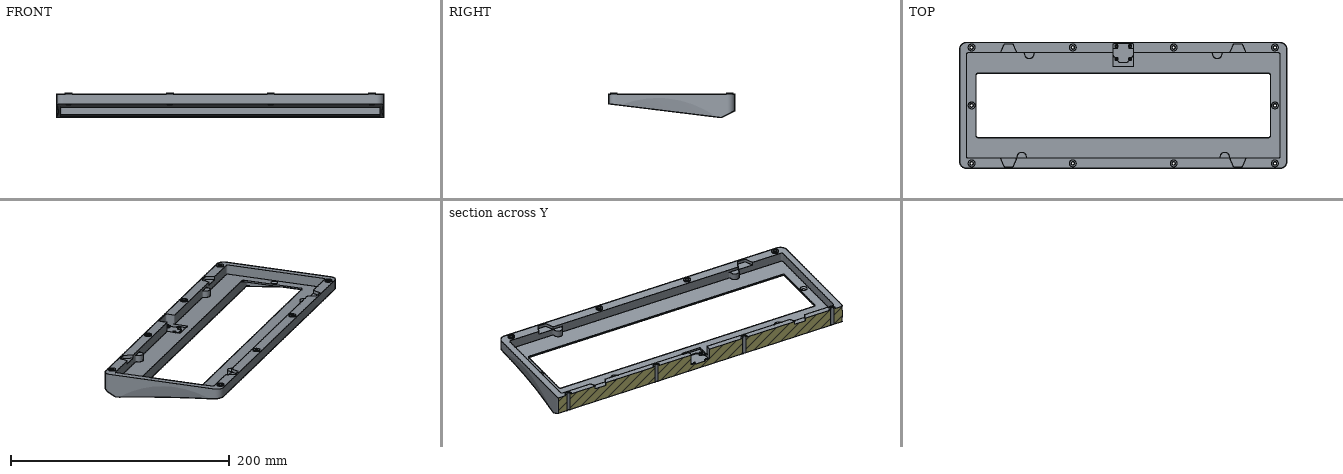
import cadquery as cq
import math


length = 299.5
width = 115.3
total_height = 22.5
ring_height = 1.0
corner_radius = 6.5
front_depth = 9.0
back_depth = 15.3
ridge_y = 45.2

half_length = length / 2
half_width = width / 2
ridge_depth = total_height - ring_height
bottom_slope = (ridge_depth - front_depth) / (ridge_y + half_width)
tilt = math.degrees(math.atan(bottom_slope))

cavity_length = 286.8
cavity_width = 96.5
cavity_radius = 1.5
floor_depth = 9.0
window_length = 269.0
window_width = 58.7
window_radius = 1.5
cavity_y = cavity_width / 2

under_length = 292.2
under_front_y = -31.7
panel_back_y = 40.5
under_radius = 2.0
ledge_thickness = 1.5
panel_depth = 1.0

scallop_length = 89.8
scallop_inset = 1.8
scallop_rise = 11.5
scallop_y = -3.0

ring_diameter = 6.3
hole_diameter = 2.9
counterbore_diameter = 4.8
counterbore_depth = 1.0
countersink_depth = 1.2
hole_x_outer = 138.5
hole_x_inner = 46.0
hole_y = 53.0

notch_x = 104.8
notch_mouth = 15.3
notch_root = 8.0
notch_wall = 1.5
notch_depth = 3.0
notch_fillet = 1.0

post_radius = 4.2
post_fillet = 1.2
post_height = 6.3
back_post_x = 86.0
front_post_x = 92.8

board_width = 19.0
board_front_y = 35.5
board_back_y = 56.5
board_depth = 10.8
board_back_radius = 1.5
board_mouth_radius = 1.0
well_depth = 11.7
well_front_y = 39.2
well_front_half = 3.5
well_shoulder_y = 45.8
well_back_y = 52.0
well_neck_half = 5.0
pin_diameter = 2.9
pin_hole_diameter = 1.62
pin_top_depth = 9.5
pin_x = 6.3
pin_front_y = 42.5
pin_back_y = 54.2
port_width = 8.5
port_height = 3.3
port_depth = 7.2

overlap = 0.3


def bottom_z(y):
    """Height of the sloping underside in front of the ridge."""
    return -front_depth - bottom_slope * (y + half_width)


def level(z):
    """Horizontal work plane at height z."""
    return cq.Workplane("XY").workplane(offset=z)


def rounded_block(x_size, y_min, y_max, z_min, z_max, radius):
    """Box centred on X = 0 with rounded vertical edges."""
    return (
        level(z_min)
        .center(0, (y_min + y_max) / 2)
        .rect(x_size, y_max - y_min)
        .extrude(z_max - z_min)
        .edges("|Z")
        .fillet(radius)
    )


def side_profile(points, x_size):
    """Prism of a Y-Z outline, centred on X = 0."""
    return cq.Workplane("YZ").polyline(points).close().extrude(x_size / 2, both=True)


def four_ways(shape, x_back, x_front):
    """Copies of a back-rail shape on the left and right of both long rails."""
    front = shape.mirror("XZ")
    copies = cq.Workplane("XY")
    for side in (-1, 1):
        copies.add(shape.translate((side * x_back, 0, 0)))
        copies.add(front.translate((side * x_front, 0, 0)))
    return copies.combine()


def wedge():
    profile = [
        (-half_width, 0),
        (half_width, 0),
        (half_width, -back_depth),
        (ridge_y, -ridge_depth),
        (-half_width, -front_depth),
    ]
    outline = rounded_block(length, -half_width, half_width, -ridge_depth, 0, corner_radius)
    return side_profile(profile, length).intersect(outline)


def frame_openings():
    cavity = rounded_block(cavity_length, -cavity_y, cavity_y, -floor_depth, 0, cavity_radius)
    window_y = window_width / 2
    window = rounded_block(window_length, -window_y, window_y, -ridge_depth, 0, window_radius)
    ledge_z = -floor_depth - ledge_thickness
    deep_pocket = rounded_block(under_length, under_front_y, window_y, -ridge_depth, ledge_z, under_radius)
    panel_outline = [
        (under_front_y, -ridge_depth),
        (under_front_y, bottom_z(under_front_y) + panel_depth),
        (panel_back_y, bottom_z(panel_back_y) + panel_depth),
        (panel_back_y, -ridge_depth),
    ]
    panel = side_profile(panel_outline, under_length)
    return cavity.union(window).union(deep_pocket).union(panel)


def left_scallop():
    """Large cylinder, square to the underside, leaning in under the left end face."""
    radius = (scallop_length / 2) ** 2 / (2 * scallop_inset)
    lean = math.degrees(math.atan(scallop_inset / scallop_rise))
    return (
        cq.Workplane("XY")
        .center(-radius, 0)
        .circle(radius)
        .extrude(2 * scallop_rise, both=True)
        .rotate((0, 0, 0), (0, 1, 0), -lean)
        .rotate((0, 0, 0), (1, 0, 0), -tilt)
        .translate((scallop_inset - half_length, scallop_y, bottom_z(scallop_y)))
    )


def rail_notch():
    """Tapered notch in the inner edge of the back rail."""
    y_root = half_width - notch_wall
    points = [
        (-notch_mouth / 2, cavity_y - overlap),
        (-notch_root / 2, y_root),
        (notch_root / 2, y_root),
        (notch_mouth / 2, cavity_y - overlap),
    ]
    notch = level(-notch_depth).polyline(points).close().extrude(notch_depth)
    return notch.edges("|Z and >Y").fillet(notch_fillet)


def rail_post():
    """Half-round post that flares into the back rail's inner wall."""
    y_side = cavity_y - post_fillet
    foot = post_radius + post_fillet
    return (
        level(-floor_depth - overlap)
        .moveTo(-foot, cavity_y + overlap)
        .lineTo(-foot, cavity_y)
        .radiusArc((-post_radius, y_side), post_fillet)
        .threePointArc((0, y_side - post_radius), (post_radius, y_side))
        .radiusArc((foot, cavity_y), post_fillet)
        .lineTo(foot, cavity_y + overlap)
        .close()
        .extrude(post_height + overlap)
    )


def add_board_pocket(body):
    half_board = board_width / 2
    seat = (
        level(-board_depth)
        .center(0, (board_front_y + board_back_y) / 2)
        .rect(board_width, board_back_y - board_front_y)
        .extrude(board_depth)
        .edges("|Z and >Y")
        .fillet(board_back_radius)
    )
    well_half = [
        (0, well_front_y),
        (well_front_half, well_front_y),
        (half_board, well_shoulder_y),
        (half_board, well_back_y),
        (well_neck_half, well_back_y),
        (well_neck_half, board_back_y),
        (0, board_back_y),
    ]
    well = level(-well_depth).polyline(well_half).close().extrude(well_depth - board_depth)
    well = well.union(well.mirror("YZ"))
    port = (
        cq.Workplane("XZ", origin=(0, board_back_y - overlap, -port_depth))
        .slot2D(port_width, port_height)
        .extrude(-half_width)
    )
    mouth_corners = cq.selectors.BoxSelector(
        (-half_board - overlap, cavity_y - overlap, -floor_depth),
        (half_board + overlap, cavity_y + overlap, 0),
    )
    pin_centres = [(x, y) for x in (-pin_x, pin_x) for y in (pin_front_y, pin_back_y)]
    pin_bottom = -well_depth - overlap
    pins = (
        level(pin_bottom)
        .pushPoints(pin_centres)
        .circle(pin_diameter / 2)
        .circle(pin_hole_diameter / 2)
        .extrude(-pin_top_depth - pin_bottom)
    )
    pin_holes = (
        level(-well_depth)
        .pushPoints(pin_centres)
        .circle(pin_hole_diameter / 2)
        .extrude(well_depth - board_depth)
    )
    body = body.cut(seat)
    body = body.edges(mouth_corners).edges("|Z").fillet(board_mouth_radius)
    return body.cut(well).cut(port).union(pins).cut(pin_holes)


def add_screw_holes(body):
    hole_xs = (-hole_x_outer, -hole_x_inner, hole_x_inner, hole_x_outer)
    front_holes = [(x, -hole_y) for x in hole_xs]
    back_holes = [(x, hole_y) for x in hole_xs]
    side_holes = [(-hole_x_outer, 0), (hole_x_outer, 0)]
    rail_holes = front_holes + back_holes

    rings = level(-overlap).pushPoints(rail_holes).circle(ring_diameter / 2).extrude(ring_height + overlap)
    body = body.union(rings)
    holes = (
        level(-ridge_depth)
        .pushPoints(rail_holes + side_holes)
        .circle(hole_diameter / 2)
        .extrude(total_height)
    )
    body = body.cut(holes)

    counterbore_z = bottom_z(-hole_y) + counterbore_depth
    counterbores = (
        level(-ridge_depth)
        .pushPoints(front_holes)
        .circle(counterbore_diameter / 2)
        .extrude(counterbore_z + ridge_depth)
    )
    body = body.cut(counterbores)

    cone = cq.Solid.makeCone(hole_diameter / 2, ring_diameter / 2, countersink_depth)
    for x, y in side_holes:
        body = body.cut(cq.Workplane(cone.translate(cq.Vector(x, y, -floor_depth - countersink_depth))))
    return body


result = wedge().cut(frame_openings())
result = result.cut(left_scallop()).cut(left_scallop().mirror("YZ"))
result = result.cut(four_ways(rail_notch(), notch_x, notch_x))
result = result.union(four_ways(rail_post(), back_post_x, front_post_x))
result = add_board_pocket(result)
result = add_screw_holes(result)